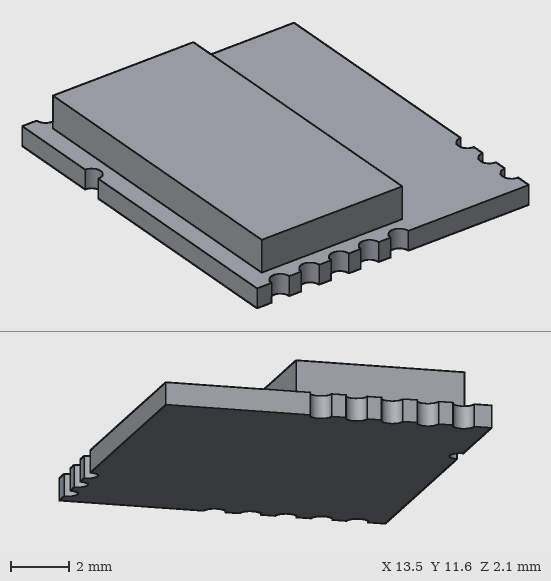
import cadquery as cq

board_length = 13.5
board_width = 11.6
board_thickness = 0.8
total_height = 2.1

can_length = 12.0
can_width = 6.0
can_front_margin = 0.75

notch_radius = 0.38
notch_pitch = 1.27
corner_to_notch = 1.0
side_notch_count = 5
back_notch_count = 3
front_notch_from_left = 4.0

right_edge = board_length / 2
left_edge = -right_edge
back_edge = board_width / 2
front_edge = -back_edge


def notch_centers():
    """Centres of all castellations, each lying on a board edge."""
    centers = [(left_edge + front_notch_from_left, front_edge)]
    for i in range(side_notch_count):
        y = front_edge + corner_to_notch + i * notch_pitch
        centers += [(left_edge, y), (right_edge, y)]
    for i in range(back_notch_count):
        centers.append((right_edge - corner_to_notch - i * notch_pitch, back_edge))
    return centers


def make_board():
    blank = cq.Workplane("XY").box(
        board_length, board_width, board_thickness, centered=(True, True, False)
    )
    notches = (
        cq.Workplane("XY")
        .pushPoints(notch_centers())
        .circle(notch_radius)
        .extrude(board_thickness)
    )
    return blank.cut(notches)


def make_can():
    can_center_y = front_edge + can_front_margin + can_width / 2
    return (
        cq.Workplane("XY")
        .center(0, can_center_y)
        .rect(can_length, can_width)
        .extrude(total_height)
    )


result = make_board().union(make_can())